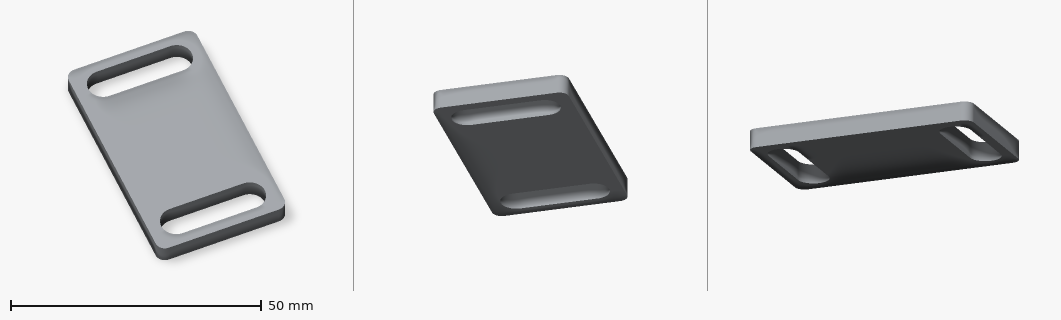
import cadquery as cq

plate_length = 48.0
plate_width = 28.0
plate_thickness = 4.0
corner_radius = 2.0

slot_width = 6.5
slot_length = 22.5
slot_spacing = 37.0


def make_plate():
    """Flat plate centred on the origin in X and Y, with rounded vertical corners."""
    plate = cq.Workplane("XY").box(
        plate_length, plate_width, plate_thickness, centered=(True, True, False)
    )
    return plate.edges("|Z").fillet(corner_radius)


def cut_slots(body):
    """Cut a strap slot through the plate at each end."""
    slot_centres = [(-slot_spacing / 2, 0), (slot_spacing / 2, 0)]
    return (
        body.faces(">Z")
        .workplane(origin=(0, 0, plate_thickness))
        .pushPoints(slot_centres)
        .slot2D(slot_length, slot_width, angle=90)
        .cutThruAll()
    )


result = cut_slots(make_plate())